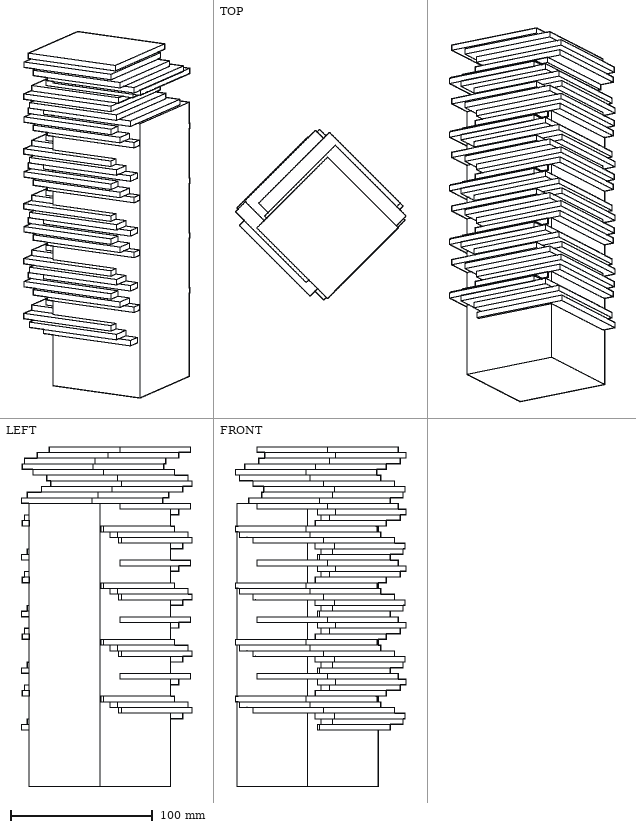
import math

import cadquery as cq

diagonal = 100.0
column_height = 200.0

plate_thickness = 4.0
plates_per_cycle = 10
cycle_count = 5
stack_bottom = 40.0
shift_length = 10.0
turn_per_plate = 1.0


def square_prism(center_x, center_y, bottom, height):
    """Square prism with its corners pointing along X and Y."""
    return (
        cq.Workplane("XY", origin=(center_x, center_y, bottom))
        .polygon(4, diagonal)
        .extrude(height)
    )


def plate_centers():
    """Plate centres of one cycle, walking in equal shifts from the column axis."""
    x = 0.0
    y = 0.0
    centers = []
    for step in range(1, plates_per_cycle + 1):
        heading = step * turn_per_plate
        x += shift_length * math.sin(heading)
        y += shift_length * math.cos(heading)
        centers.append((x, y))
    return centers


def add_plate_stack(body):
    """Join all plates to the body; every cycle starts again at the column axis."""
    bottom = stack_bottom
    for _ in range(cycle_count):
        for x, y in plate_centers():
            body = body.union(square_prism(x, y, bottom, plate_thickness))
            bottom += plate_thickness
    return body


column = square_prism(0.0, 0.0, 0.0, column_height)
result = add_plate_stack(column)